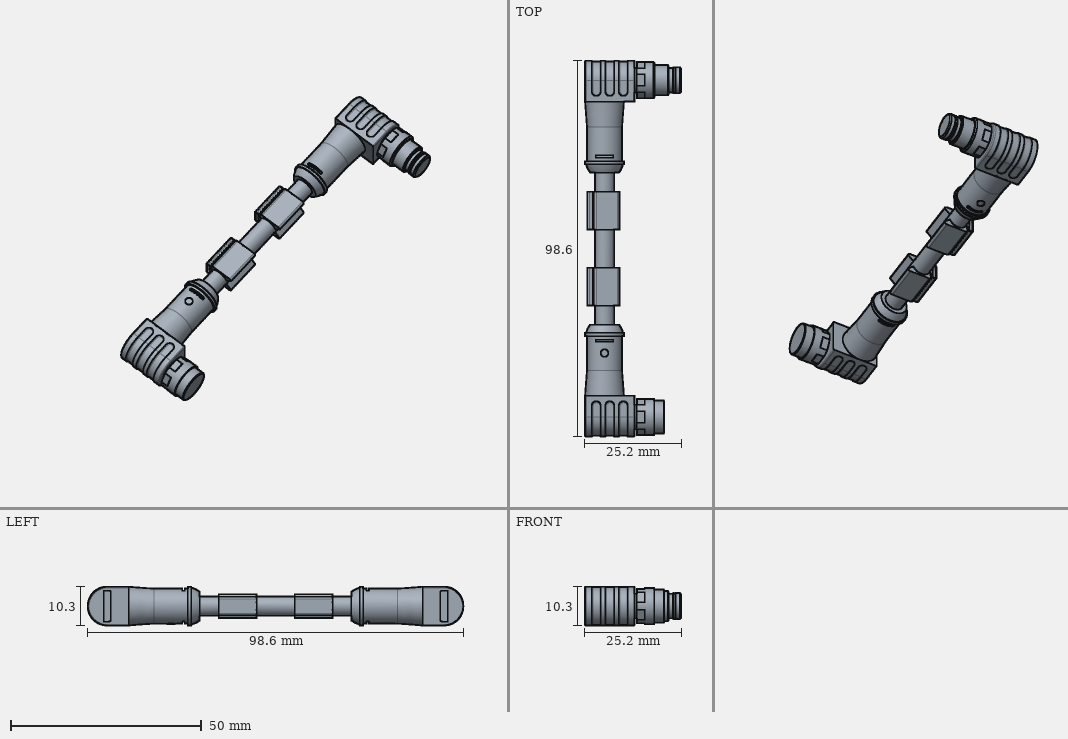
import cadquery as cq
import math

TOTAL_LENGTH = 98.6
HALF_LENGTH = TOTAL_LENGTH / 2
CABLE_RADIUS = 5.1 / 2

HEAD_RADIUS = 10.3 / 2
HEAD_LENGTH = 10.7
HEAD_LEFT = -HEAD_RADIUS
HEAD_RIGHT = 7.9
HEAD_ROUNDING = 0.3
AXIS_Y = HALF_LENGTH - HEAD_RADIUS
HEAD_INNER_Y = HALF_LENGTH - HEAD_LENGTH

GRIP_COUNT = 3
GRIP_PITCH = 3.55
GRIP_FIRST_X = -2.2
GRIP_WIDTH = 2.4
GRIP_INNER_Y = HALF_LENGTH - 9.3
GRIP_DEPTH = 0.2
GRIP_FLOOR_ROUNDING = 0.3
GRIP_MARGIN = 1.0

LABEL_WIDTH = 1.9
LABEL_HEIGHT = 8.1
LABEL_DEPTH = 0.3
LABEL_CORNER = 0.4

SLEEVE_RADIUS = 9.3 / 2
SLEEVE_TAPER_END_Y = HALF_LENGTH - 17.4
RING_OUTER_Y = HALF_LENGTH - 26.3
RING_INNER_Y = HALF_LENGTH - 27.2
SLEEVE_INNER_Y = HALF_LENGTH - 29.4
NOSE_BASE_RADIUS = 9.8 / 2
NOSE_TIP_RADIUS = 7.6 / 2
NOSE_BULGE = 0.1
NOTCH_Y = HALF_LENGTH - 25.1
NOTCH_WIDTH = 0.6
NOTCH_DEPTH = 0.6
PAD_RADIUS = 2.0 / 2
PAD_Y = HALF_LENGTH - 21.9
PAD_HEIGHT = 0.1

NECK_RADIUS = 6.5 / 2
NUT_RADIUS = 9.6 / 2
NUT_START = 8.5
NUT_FLATS_END = 10.55
SHORT_NUT_END = 13.0
LONG_NUT_END = 13.2
NUT_ACROSS_FLATS = 9.1
NUT_CHAMFER = 0.4
SOCKET_RADIUS = 8.8 / 2
SOCKET_END = 15.7
SOCKET_CHAMFER = 0.2
COLLAR_RADIUS = 8.0 / 2
COLLAR_END = 16.9
COLLAR_CHAMFER = 0.3
TAIL_RADIUS = 6.9 / 2
TAIL_START = 17.8
TAIL_END = 20.1
TAIL_CHAMFER = 0.4
TAIL_BARB_PEAK = 18.1
TAIL_BARB_END = 18.6

CLIP_LENGTH = 10.0
CLIP_CENTER_Y = 10.0
CLIP_HALF_HEIGHT = 3.2
CLIP_LEFT = -4.5
CLIP_RIGHT = 3.9
CLIP_ROUNDING = 0.6
CLIP_TIP_HEIGHT = 2.5
CLIP_PLATE_HALF_HEIGHT = 2.5
CLIP_PLATE_RIGHT = -3.1
CLIP_BODY_LEFT = -2.8
CLIP_SLOT_FLOOR = 1.0
CLIP_MOUTH = 1.6
CLIP_WALL = 0.3


def revolve_about_x(outline):
    """Turn an (x, radius) outline about the plug axis of the head."""
    points = [(x, AXIS_Y + radius) for x, radius in outline]
    return cq.Workplane("XY").polyline(points).close().revolve(360, (0, AXIS_Y), (1, AXIS_Y))


def head_prism(inset):
    """Head outline moved inward by inset on its round side and both flat sides."""
    radius = HEAD_RADIUS - inset
    return (
        cq.Workplane("YZ", origin=(HEAD_LEFT, 0, 0))
        .moveTo(HEAD_INNER_Y, -radius)
        .lineTo(AXIS_Y, -radius)
        .threePointArc((AXIS_Y + radius, 0), (AXIS_Y, radius))
        .lineTo(HEAD_INNER_Y, radius)
        .close()
        .extrude(HEAD_RIGHT - HEAD_LEFT)
    )


def grip_recess(center_x):
    """Cutter for one U-shaped recess with a rounded floor edge, reaching past the head surface."""
    radius = GRIP_WIDTH / 2
    arc_y = GRIP_INNER_Y + radius
    outer_y = HALF_LENGTH + GRIP_MARGIN
    half_height = HEAD_RADIUS + GRIP_MARGIN
    prism = (
        cq.Workplane("XY")
        .moveTo(center_x - radius, outer_y)
        .lineTo(center_x - radius, arc_y)
        .threePointArc((center_x, GRIP_INNER_Y), (center_x + radius, arc_y))
        .lineTo(center_x + radius, outer_y)
        .close()
        .extrude(half_height, both=True)
    )
    floor_box = cq.selectors.BoxSelector(
        (HEAD_LEFT, HEAD_INNER_Y, -HEAD_RADIUS), (HEAD_RIGHT, HALF_LENGTH, HEAD_RADIUS)
    )
    return prism.cut(head_prism(GRIP_DEPTH)).edges(floor_box).fillet(GRIP_FLOOR_ROUNDING)


def make_head():
    head = head_prism(0)
    for side in ("<X", ">X"):
        rim_edges = head.faces(side).edges("not(<Y)")
        head = rim_edges.fillet(HEAD_ROUNDING)
    for index in range(GRIP_COUNT):
        center_x = GRIP_FIRST_X + index * GRIP_PITCH
        head = head.cut(grip_recess(center_x))
    label = (
        cq.Workplane("XY")
        .box(2 * LABEL_DEPTH, LABEL_WIDTH, LABEL_HEIGHT)
        .edges("|X and <Y")
        .fillet(LABEL_CORNER)
        .translate((HEAD_LEFT, AXIS_Y, 0))
    )
    return head.cut(label)


def make_sleeve():
    nose_mid = (
        (NOSE_BASE_RADIUS + NOSE_TIP_RADIUS) / 2 + NOSE_BULGE,
        (RING_INNER_Y + SLEEVE_INNER_Y) / 2 - NOSE_BULGE,
    )
    sleeve = (
        cq.Workplane("XY")
        .moveTo(0, HEAD_INNER_Y)
        .lineTo(0, SLEEVE_INNER_Y)
        .lineTo(NOSE_TIP_RADIUS, SLEEVE_INNER_Y)
        .threePointArc(nose_mid, (NOSE_BASE_RADIUS, RING_INNER_Y))
        .lineTo(HEAD_RADIUS, RING_INNER_Y)
        .lineTo(HEAD_RADIUS, RING_OUTER_Y)
        .lineTo(SLEEVE_RADIUS, RING_OUTER_Y)
        .lineTo(SLEEVE_RADIUS, SLEEVE_TAPER_END_Y)
        .lineTo(HEAD_RADIUS, HEAD_INNER_Y)
        .close()
        .revolve(360, (0, 0), (0, 1))
    )
    for side in (-1, 1):
        notch = cq.Workplane("XY").box(2 * SLEEVE_RADIUS, NOTCH_WIDTH, 2 * NOTCH_DEPTH)
        sleeve = sleeve.cut(notch.translate((0, NOTCH_Y, side * SLEEVE_RADIUS)))
    pad = (
        cq.Workplane("XY", origin=(0, PAD_Y, -SLEEVE_RADIUS - PAD_HEIGHT))
        .circle(PAD_RADIUS)
        .extrude(SLEEVE_RADIUS)
    )
    return sleeve.union(pad)


def make_nut(end_x):
    """Round nut with six flats on its rear part, joined to the head by a neck."""
    nut = revolve_about_x(
        [(NUT_START, 0), (NUT_START, NUT_RADIUS), (end_x, NUT_RADIUS), (end_x, 0)]
    )
    across_corners = NUT_ACROSS_FLATS / math.cos(math.pi / 6)
    hexagon = (
        cq.Workplane("YZ", origin=(NUT_START, AXIS_Y, 0))
        .polygon(6, across_corners)
        .extrude(NUT_FLATS_END - NUT_START)
    )
    flats = (
        cq.Workplane("YZ", origin=(NUT_START, AXIS_Y, 0))
        .circle(across_corners)
        .extrude(NUT_FLATS_END - NUT_START)
        .cut(hexagon)
    )
    neck = revolve_about_x(
        [(0, 0), (0, NECK_RADIUS), (end_x, NECK_RADIUS), (end_x, 0)]
    )
    return nut.cut(flats).union(neck)


def make_long_plug():
    outline = [
        (NUT_START, 0),
        (NUT_START, COLLAR_RADIUS),
        (COLLAR_END - COLLAR_CHAMFER, COLLAR_RADIUS),
        (COLLAR_END, COLLAR_RADIUS - COLLAR_CHAMFER),
        (COLLAR_END, NECK_RADIUS),
        (TAIL_START, NECK_RADIUS),
        (TAIL_BARB_PEAK, TAIL_RADIUS),
        (TAIL_BARB_END, NECK_RADIUS),
        (TAIL_BARB_END, TAIL_RADIUS),
        (TAIL_END - TAIL_CHAMFER, TAIL_RADIUS),
        (TAIL_END, TAIL_RADIUS - TAIL_CHAMFER),
        (TAIL_END, 0),
    ]
    nut = make_nut(LONG_NUT_END).faces(">X").chamfer(NUT_CHAMFER)
    return nut.union(revolve_about_x(outline))


def make_short_plug():
    outline = [
        (NUT_START, 0),
        (NUT_START, SOCKET_RADIUS),
        (SOCKET_END - SOCKET_CHAMFER, SOCKET_RADIUS),
        (SOCKET_END, SOCKET_RADIUS - SOCKET_CHAMFER),
        (SOCKET_END, 0),
    ]
    return make_nut(SHORT_NUT_END).union(revolve_about_x(outline))


def make_clip():
    """Clip extruded along Y, symmetric in Z, with a 45 degree mouth facing +X.

    Its left plate is a flat sleeve for a marker tag, open at both ends.
    """
    upper = [
        (CLIP_LEFT, CLIP_PLATE_HALF_HEIGHT),
        (CLIP_PLATE_RIGHT, CLIP_PLATE_HALF_HEIGHT),
        (CLIP_PLATE_RIGHT, CLIP_SLOT_FLOOR),
        (CLIP_BODY_LEFT, CLIP_SLOT_FLOOR),
        (CLIP_BODY_LEFT, CLIP_HALF_HEIGHT),
        (CLIP_RIGHT, CLIP_HALF_HEIGHT),
        (CLIP_RIGHT, CLIP_TIP_HEIGHT),
        (CLIP_RIGHT - CLIP_MOUTH, CLIP_TIP_HEIGHT - CLIP_MOUTH),
    ]
    lower = [(x, -z) for x, z in reversed(upper)]
    clip = cq.Workplane("XZ").polyline(upper + lower).close().extrude(CLIP_LENGTH / 2, both=True)
    top_and_bottom = clip.faces("<Z or >Z").edges("|Y")
    clip = top_and_bottom.fillet(CLIP_ROUNDING)
    clip = clip.faces("<X").edges("|Y").fillet(CLIP_ROUNDING)
    pocket = cq.Workplane("XY").box(
        CLIP_PLATE_RIGHT - CLIP_LEFT - 2 * CLIP_WALL,
        CLIP_LENGTH,
        2 * (CLIP_PLATE_HALF_HEIGHT - CLIP_WALL),
    )
    pocket = pocket.edges("|Y and <X").fillet(CLIP_ROUNDING - CLIP_WALL)
    return clip.cut(pocket.translate(((CLIP_LEFT + CLIP_PLATE_RIGHT) / 2, 0, 0)))


housing = make_head().union(make_sleeve())
long_connector = housing.union(make_long_plug())
short_connector = housing.union(make_short_plug()).rotate((0, 0, 0), (1, 0, 0), 180)

cable = cq.Workplane("XZ").circle(CABLE_RADIUS).extrude(AXIS_Y, both=True)
result = cable.union(long_connector).union(short_connector)
for clip_y in (-CLIP_CENTER_Y, CLIP_CENTER_Y):
    result = result.union(make_clip().translate((0, clip_y, 0)))